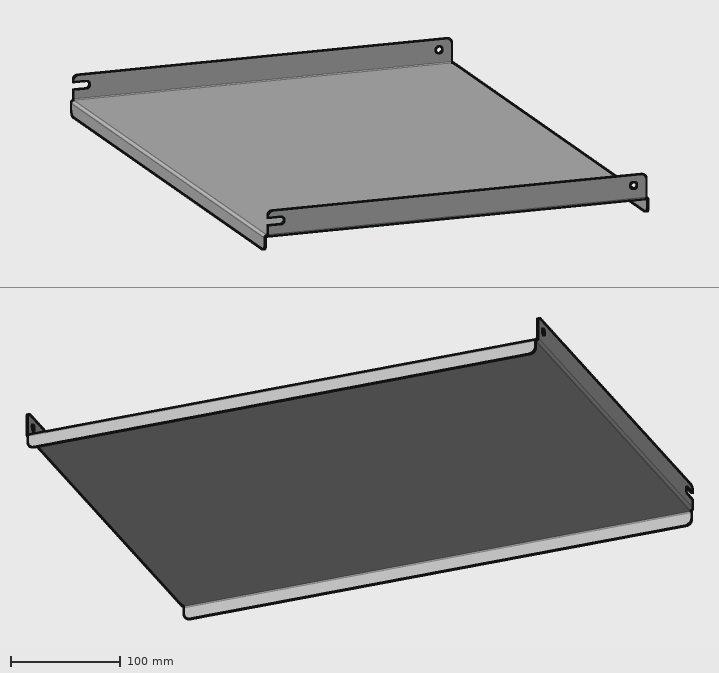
import cadquery as cq

length = 506.0
width = 375.0
height = 38.0

sheet = 1.5
bend_radius = 2.5
inner_radius = bend_radius - sheet
panel_bottom = 13.0
panel_top = panel_bottom + sheet

wall_setback = 2.5
lip_setback = 2.0
wall_corner_radius = 5.0
lip_corner_radius = 6.0

hole_diameter = 6.5
slot_width = 7.0
mount_inset = 15.0
mount_drop = 10.0

wall_length = width - 2 * wall_setback
lip_length = length - 2 * lip_setback
mount_z = height - mount_drop


def bent_flange(workplane, direction, flange_end, flange_length):
    """Bent strip whose outer face is at zero, extending toward positive local x.

    direction is +1 for an upward flange and -1 for a downward flange.
    """
    outer_level = panel_bottom if direction > 0 else panel_top
    inner_level = outer_level + direction * sheet
    bend_end = outer_level + direction * bend_radius
    return (
        workplane.moveTo(0, flange_end)
        .lineTo(0, bend_end)
        .radiusArc((bend_radius, outer_level), -direction * bend_radius)
        .lineTo(bend_radius, inner_level)
        .radiusArc((sheet, bend_end), direction * inner_radius)
        .lineTo(sheet, flange_end)
        .close()
        .extrude(flange_length / 2, both=True)
    )


def side_wall():
    """Upturned wall on the -X side, pierced for mounting."""
    wall = bent_flange(cq.Workplane("XZ", origin=(-length / 2, 0, 0)), 1, height, wall_length)
    wall = wall.faces(">Z").edges("|X").fillet(wall_corner_radius)
    mount_y = width / 2 - mount_inset
    cutters = cq.Workplane("YZ", origin=(-length / 2, 0, 0))
    hole = cutters.center(mount_y, mount_z).circle(hole_diameter / 2).extrude(sheet)
    slot_end = cutters.center(-mount_y, mount_z).circle(slot_width / 2).extrude(sheet)
    slot_opening = (
        cutters.center(-mount_y - mount_inset / 2, mount_z)
        .rect(mount_inset, slot_width)
        .extrude(sheet)
    )
    return wall.cut(hole).cut(slot_end).cut(slot_opening)


def front_lip():
    """Downturned lip on the -Y side."""
    lip = bent_flange(cq.Workplane("YZ", origin=(0, -width / 2, 0)), -1, 0, lip_length)
    return lip.faces("<Z").edges("|Y").fillet(lip_corner_radius)


panel = cq.Workplane("XY", origin=(0, 0, panel_bottom)).box(
    length - 2 * bend_radius, width - 2 * bend_radius, sheet, centered=(True, True, False)
)

wall = side_wall()
lip = front_lip()
result = panel
for flange in (wall, wall.mirror("YZ"), lip, lip.mirror("XZ")):
    result = result.union(flange)